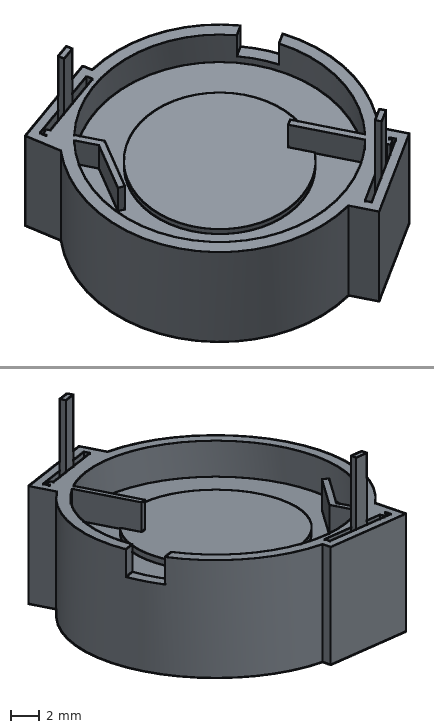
import cadquery as cq
import math

body_height = 9.02
outer_diameter = 22.5
cavity_diameter = 20.5
cavity_depth = 2.75
floor_z = body_height - cavity_depth

disc_diameter = 13.5
disc_height = 0.5

notch_width = 3.07
notch_depth = 2.1

block_width = 8.0
slot_length = 6.5
slot_width = 0.5
slot_to_face = 0.75
pin_width = 1.15
left_pin_offset = 0.13
pin_top = 14.5
right_face_distance = 12.75
left_face_distance = 11.93
left_angle = 165.0
left_shift = 2.7

arm_thickness = 0.52
arm_height = 2.35
right_arm_y = 2.83
right_arm_start = 4.3
right_arm_end = 11.78
left_arm_y = -2.65
left_arm_start = -12.06
left_arm_bend = -7.88
left_arm_tip_length = 4.55
left_arm_tip_angle = -57.0


def box_between(x_min, x_max, width, z_min, z_max):
    """Box centred on the X axis, spanning the given X and Z ranges."""
    length = x_max - x_min
    height = z_max - z_min
    corner = (x_min, -width / 2, z_min)
    return cq.Workplane("XY").box(length, width, height, centered=False).translate(corner)


def place(shape, angle, shift):
    """Slide a housing feature sideways, then turn it about the cup axis."""
    return shape.translate((0, shift, 0)).rotate((0, 0, 0), (0, 0, 1), angle)


def slot_range(face_distance):
    """Inner and outer distance of a slot from the cup axis."""
    slot_outer = face_distance - slot_to_face
    return slot_outer - slot_width, slot_outer


def housing_slot(face_distance):
    return box_between(*slot_range(face_distance), slot_length, 0, body_height)


def housing_pin(face_distance):
    return box_between(*slot_range(face_distance), pin_width, 0, pin_top)


def right_arm():
    arm = box_between(right_arm_start, right_arm_end, arm_thickness, body_height - arm_height, body_height)
    return arm.translate((0, right_arm_y, 0))


def left_arm():
    """Arm that leaves the left housing along X and bends inward, with a mitred corner."""
    half = arm_thickness / 2
    tip_angle = math.radians(left_arm_tip_angle)
    mitre = half * math.tan(tip_angle / 2)
    tip_x = left_arm_bend + left_arm_tip_length * math.cos(tip_angle)
    tip_y = left_arm_y + left_arm_tip_length * math.sin(tip_angle)
    side_x = -half * math.sin(tip_angle)
    side_y = half * math.cos(tip_angle)
    outline = [
        (left_arm_start, left_arm_y + half),
        (left_arm_bend - mitre, left_arm_y + half),
        (tip_x + side_x, tip_y + side_y),
        (tip_x - side_x, tip_y - side_y),
        (left_arm_bend + mitre, left_arm_y - half),
        (left_arm_start, left_arm_y - half),
    ]
    base = cq.Workplane("XY").workplane(offset=body_height - arm_height)
    return base.polyline(outline).close().extrude(arm_height)


housings = [
    (right_face_distance, 0, 0, 0),
    (left_face_distance, left_shift, left_angle, left_pin_offset),
]

result = cq.Workplane("XY").circle(outer_diameter / 2).extrude(body_height)
for face_distance, shift, angle, _ in housings:
    block = box_between(0, face_distance, block_width, 0, body_height)
    result = result.union(place(block, angle, shift))

floor_plane = cq.Workplane("XY").workplane(offset=floor_z)
result = result.cut(floor_plane.circle(cavity_diameter / 2).extrude(cavity_depth))
result = result.union(floor_plane.circle(disc_diameter / 2).extrude(disc_height))
notch = cq.Workplane("XY").box(notch_width, outer_diameter / 2, notch_depth, centered=(True, False, False))
result = result.cut(notch.translate((0, disc_diameter / 2, body_height - notch_depth)))

for face_distance, shift, angle, _ in housings:
    result = result.cut(place(housing_slot(face_distance), angle, shift))
for face_distance, shift, angle, pin_offset in housings:
    result = result.union(place(housing_pin(face_distance), angle, shift + pin_offset))
result = result.union(right_arm()).union(left_arm())